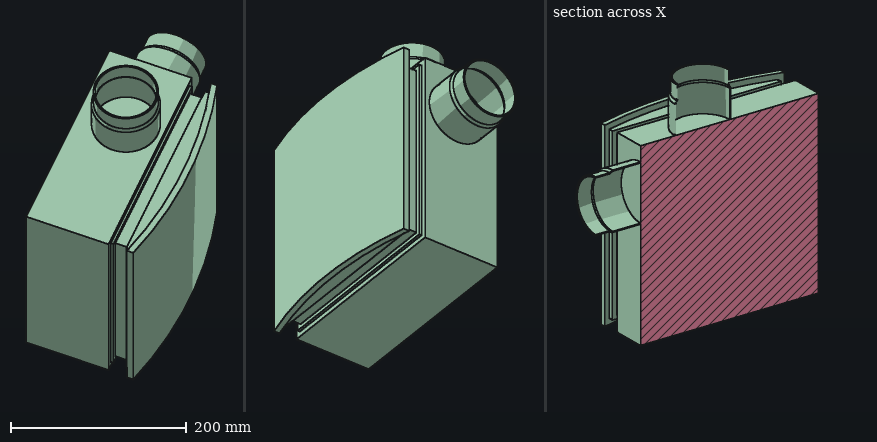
import cadquery as cq

BOX_DEPTH = 101.5
BOX_SIDE = 249.5

PLATE_SIDE = 251.5
PLATE_THICKNESS = 7.8
PLATE_BULGE = 17.0
FRONT_X = 149.2
PLATE_CROWN_X = FRONT_X - PLATE_THICKNESS
PLATE_EDGE_X = PLATE_CROWN_X - PLATE_BULGE

FRAME_SIDE = PLATE_SIDE - 15.7
NECK_SIDE = PLATE_SIDE - 27.0
FLANGE_THICKNESS = 3.0
NECK_LENGTH = 15.7
NECK_X = BOX_DEPTH + FLANGE_THICKNESS
PAD_X = NECK_X + NECK_LENGTH

OVERALL_LENGTH = 313.5
SPIGOT_LENGTH = OVERALL_LENGTH - PLATE_SIDE / 2 - BOX_SIDE / 2
SPIGOT_RADIUS = 39.2
SPIGOT_END_RADIUS = 37.0
SPIGOT_END_LENGTH = 19.8
SPIGOT_TAPER_LENGTH = 4.0
SPIGOT_WALL = 2.0
SPIGOT_X = 56.5
TOP_SPIGOT_Y = 37.3
SIDE_SPIGOT_Z = 65.5


def square_slab(start_x, thickness, side):
    """Square slab centred on the X axis, growing toward +X."""
    return cq.Workplane("YZ").workplane(offset=start_x).rect(side, side).extrude(thickness)


def spigot_core(inset):
    """Stepped round body along +Z, with every radius reduced by inset."""
    wide = SPIGOT_RADIUS - inset
    narrow = SPIGOT_END_RADIUS - inset
    narrow_z = SPIGOT_LENGTH - SPIGOT_END_LENGTH
    return (
        cq.Workplane("XZ")
        .lineTo(wide, 0)
        .lineTo(wide, narrow_z - SPIGOT_TAPER_LENGTH)
        .lineTo(narrow, narrow_z)
        .lineTo(narrow, SPIGOT_LENGTH)
        .lineTo(0, SPIGOT_LENGTH)
        .close()
        .revolve(360, (0, 0, 0), (0, 1, 0))
    )


def make_spigot():
    """Thin-walled spigot standing on the XY plane, open at its far end."""
    return spigot_core(0).cut(spigot_core(SPIGOT_WALL))


def make_housing():
    """Box with one spigot on its +Z face and one on its +Y face."""
    face = BOX_SIDE / 2
    top_spigot = make_spigot().translate((SPIGOT_X, TOP_SPIGOT_Y, face))
    side_spigot = (
        make_spigot()
        .rotate((0, 0, 0), (1, 0, 0), -90)
        .translate((SPIGOT_X, face, SIDE_SPIGOT_Z))
    )
    return square_slab(0, BOX_DEPTH, BOX_SIDE).union(top_spigot).union(side_spigot)


def make_plate():
    """Plate bowed toward +X, straight along Z."""
    half = PLATE_SIDE / 2
    return (
        cq.Workplane("XY")
        .moveTo(PLATE_EDGE_X, -half)
        .threePointArc((PLATE_CROWN_X, 0), (PLATE_EDGE_X, half))
        .lineTo(PLATE_EDGE_X + PLATE_THICKNESS, half)
        .threePointArc((FRONT_X, 0), (PLATE_EDGE_X + PLATE_THICKNESS, -half))
        .close()
        .extrude(half, both=True)
    )


def make_pad():
    """Backing that fills the hollow of the bowed plate."""
    half = PLATE_SIDE / 2
    hollow = (
        cq.Workplane("XY")
        .moveTo(PAD_X, -half)
        .lineTo(PLATE_EDGE_X, -half)
        .threePointArc((PLATE_CROWN_X, 0), (PLATE_EDGE_X, half))
        .lineTo(PAD_X, half)
        .close()
        .extrude(half, both=True)
    )
    return square_slab(PAD_X, PLATE_CROWN_X - PAD_X, FRAME_SIDE).intersect(hollow)


def make_front():
    """Front cover: flange against the box, neck, backing pad and bowed plate."""
    flange = square_slab(BOX_DEPTH, FLANGE_THICKNESS, FRAME_SIDE)
    neck = square_slab(NECK_X, NECK_LENGTH, NECK_SIDE)
    return flange.union(neck).union(make_pad()).union(make_plate())


housing = make_housing()
front = make_front()

result = cq.Compound.makeCompound([housing.val(), front.val()])